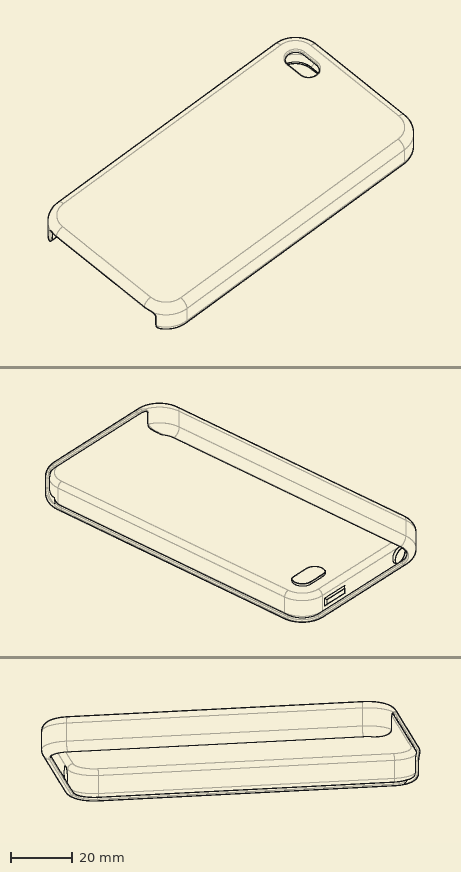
import cadquery as cq
import math

finished_length = 118.1
width = 61.5
finished_height = 12.0

corner_radius = 9.9
edge_radius = 3.0
wall = 1.2
wall_cut_depth = 2 * wall

rim_radius = 0.41
rim_loss = edge_radius - rim_radius - math.sqrt((edge_radius - rim_radius) ** 2 - rim_radius**2)
length = finished_length + rim_loss
height = finished_height + rim_loss

contact_gap = 0.001

camera_length = 13.1
camera_width = 7.1
camera_x = -17.2
camera_y = 48.8

cutout_width = 49.8
cutout_top = height - edge_radius
cutout_corner_radius = 2.0
foot_radius = 3.5
foot_height = 3.3

jack_diameter = 6.0
jack_x = 17.2
switch_width = 10.0
switch_height = 3.0
switch_x = -14.8
port_z = height / 2


def rounded_block(inset):
    """Block with rounded corners and edges, set in from the outer body on every side."""
    return (
        cq.Workplane("XY", origin=(0, 0, inset))
        .rect(width - 2 * inset, length - 2 * inset)
        .extrude(height - 2 * inset)
        .edges("|Z")
        .fillet(corner_radius - inset)
        .faces("<Z or >Z")
        .edges()
        .fillet(edge_radius - inset)
    )


def bottom_opening():
    """Removes the flat part of the bottom face, leaving the curled-in rim."""
    return (
        cq.Workplane("XY")
        .rect(width - 2 * edge_radius, length - 2 * edge_radius)
        .extrude(wall_cut_depth)
        .edges("|Z")
        .fillet(corner_radius - edge_radius)
    )


def front_cutout():
    """Round-topped opening through the front wall and corners, flaring out at the bottom."""
    half_width = cutout_width / 2
    foot_reach = foot_radius - math.sqrt(foot_radius**2 - foot_height**2)
    behind_wall = cq.Workplane("XZ", origin=(0, -length / 2 + corner_radius, 0))
    opening = (
        behind_wall.rect(cutout_width, 2 * cutout_top)
        .extrude(corner_radius)
        .edges("|Y")
        .fillet(cutout_corner_radius)
    )
    flare = (
        behind_wall.moveTo(-half_width - foot_reach, 0)
        .radiusArc((-half_width, foot_height), -foot_radius)
        .lineTo(half_width, foot_height)
        .radiusArc((half_width + foot_reach, 0), -foot_radius)
        .close()
        .extrude(corner_radius)
    )
    return opening.union(flare)


def camera_window():
    """Slot through the top wall."""
    return (
        cq.Workplane("XY", origin=(camera_x, camera_y, height - wall_cut_depth))
        .slot2D(camera_length, camera_width)
        .extrude(wall_cut_depth)
    )


def back_ports():
    """Round jack hole and rectangular switch slot through the back wall."""
    back = cq.Workplane("XZ", origin=(0, length / 2, port_z))
    jack = back.center(jack_x, 0).circle(jack_diameter / 2).extrude(wall_cut_depth)
    switch = back.center(switch_x, 0).rect(switch_width, switch_height).extrude(wall_cut_depth)
    return jack.union(switch)


def cut_with_soft_rim(body, cutter, skin):
    """Cuts an opening and rounds the edges where it meets the outer skin."""
    cut_body = body.cut(cutter)
    surfaces = (skin, cutter.val().Shells()[0])

    def on_rim(edge):
        middle = cq.Vertex.makeVertex(*edge.positionAt(0.5).toTuple())
        return all(surface.distance(middle) < contact_gap for surface in surfaces)

    rim = [edge for edge in cut_body.edges().vals() if on_rim(edge)]
    return cut_body.newObject(rim).fillet(rim_radius)


block = rounded_block(0)
outer_skin = block.val().Shells()[0]

case = block.cut(rounded_block(wall))
case = cut_with_soft_rim(case, bottom_opening().union(front_cutout()), outer_skin)
case = cut_with_soft_rim(case, camera_window(), outer_skin)
result = case.cut(back_ports())